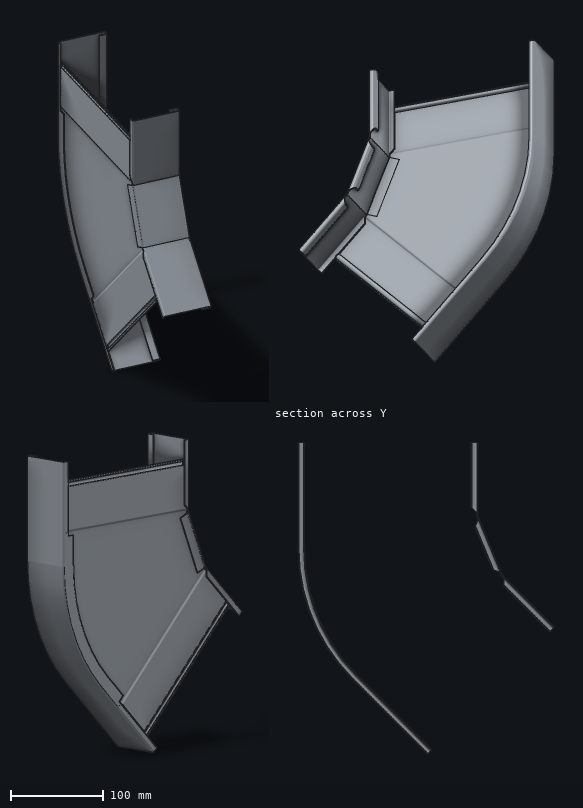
import cadquery as cq
import math


BEND_ANGLE = 45
BEND_RADIUS = 200.0
TRAY_WIDTH = 196.0
OVERALL_HEIGHT = 339.0
INNER_LEG = 80.0

SHEET = 1.25
RAIL_HEIGHT = 57.0
FOOT_RADIUS = 2.0
LIP_RADIUS = 3.5
LIP_DROP = 10.0
FLANGE_WIDTH = 7.0
OUTER_LIP_REACH = 7.5
INNER_LIP_REACH = 8.0
NOTCH_SETBACK = FOOT_RADIUS
NOTCH_START = 3.7

OUTER_LAP_WIDTH = 15.5
OUTER_LAP_LEG = 33.2
INNER_LAP_WIDTH = 14.5

END_INSET = 20.7
END_LIP = 2.5
GROOVE_RADIUS = 2.0
JOGGLE_OFFSET = 1.5
SIDE_GAP = 0.7

SIN_BEND = math.sin(math.radians(BEND_ANGLE))
OUTER_LEG = (OVERALL_HEIGHT - BEND_RADIUS * SIN_BEND) / (1 + SIN_BEND)
HALF_ANGLE = BEND_ANGLE / 2
SIN_HALF = math.sin(math.radians(HALF_ANGLE))
COS_HALF = math.cos(math.radians(HALF_ANGLE))
MITRE_SLOPE = math.tan(math.radians(HALF_ANGLE / 2))
CORNER_Z = OUTER_LEG - INNER_LEG
FLOOR_END_Z = CORNER_Z + JOGGLE_OFFSET
HALF_CHORD = (BEND_RADIUS - TRAY_WIDTH) * SIN_HALF + CORNER_Z * COS_HALF
BEND_CENTRE = cq.Vector(BEND_RADIUS, 0, 0)
MIRROR_NORMAL = cq.Vector(-SIN_HALF, 0, COS_HALF)
INNER_CORNER = (TRAY_WIDTH, 0, CORNER_Z)
LEG_INWARD = (-1, 0, 0)
CHORD_INWARD = (-COS_HALF, 0, -SIN_HALF)
CHORD_DOWN = (SIN_HALF, 0, -COS_HALF)


def with_mirror(half):
    """The half body joined to its reflection across the bend's symmetry plane."""
    reflection = half.val().mirror(MIRROR_NORMAL, BEND_CENTRE)
    return half.union(cq.Workplane(reflection)).solids()


def rail_section(plane, flange_width, lip_reach):
    """Bent-sheet section; local x points into the tray and local y points up the wall."""
    diagonal = math.sqrt(0.5)
    foot_inner = FOOT_RADIUS - SHEET
    lip_inner = LIP_RADIUS - SHEET
    lip_top = RAIL_HEIGHT - LIP_RADIUS
    lip_end = RAIL_HEIGHT - LIP_DROP
    lip_centre = lip_reach - LIP_RADIUS

    def arc_middle(centre_x, centre_y, radius, side_x, side_y):
        """Middle of a quarter arc on the given sides of its centre."""
        return (centre_x + side_x * radius * diagonal, centre_y + side_y * radius * diagonal)

    return (
        cq.Workplane(plane)
        .moveTo(flange_width, 0)
        .lineTo(FOOT_RADIUS, 0)
        .threePointArc(arc_middle(FOOT_RADIUS, FOOT_RADIUS, FOOT_RADIUS, -1, -1), (0, FOOT_RADIUS))
        .lineTo(0, lip_top)
        .threePointArc(arc_middle(LIP_RADIUS, lip_top, LIP_RADIUS, -1, 1), (LIP_RADIUS, RAIL_HEIGHT))
        .lineTo(lip_centre, RAIL_HEIGHT)
        .threePointArc(arc_middle(lip_centre, lip_top, LIP_RADIUS, 1, 1), (lip_reach, lip_top))
        .lineTo(lip_reach, lip_end)
        .lineTo(lip_reach - SHEET, lip_end)
        .lineTo(lip_reach - SHEET, lip_top)
        .threePointArc(arc_middle(lip_centre, lip_top, lip_inner, 1, 1), (lip_centre, RAIL_HEIGHT - SHEET))
        .lineTo(LIP_RADIUS, RAIL_HEIGHT - SHEET)
        .threePointArc(arc_middle(LIP_RADIUS, lip_top, lip_inner, -1, 1), (SHEET, lip_top))
        .lineTo(SHEET, FOOT_RADIUS)
        .threePointArc(arc_middle(FOOT_RADIUS, FOOT_RADIUS, foot_inner, -1, -1), (FOOT_RADIUS, SHEET))
        .lineTo(flange_width, SHEET)
        .close()
    )


def make_outer_rail():
    """Rail with straight legs tangent to the arc; its flange widens to lap the floor plate."""
    lap_start = cq.Plane(origin=(0, 0, 0), xDir=(1, 0, 0), normal=(0, 0, 1))
    lap_end = cq.Plane(origin=(0, 0, OUTER_LAP_LEG), xDir=(1, 0, 0), normal=(0, 0, 1))
    half_arc = rail_section(lap_start, OUTER_LAP_WIDTH, OUTER_LIP_REACH).revolve(
        HALF_ANGLE, (BEND_RADIUS, 3.5, 0), (BEND_RADIUS, 0, 0)
    )
    lapped_leg = rail_section(lap_start, OUTER_LAP_WIDTH, OUTER_LIP_REACH).extrude(OUTER_LAP_LEG)
    plain_leg = rail_section(lap_end, FLANGE_WIDTH, OUTER_LIP_REACH).extrude(OUTER_LEG - OUTER_LAP_LEG)
    return with_mirror(half_arc.union(lapped_leg).union(plain_leg))


def corner_plan(inward):
    """Floor plane at the inner corner; local x points into the tray, local y down along the rail."""
    return cq.Workplane(cq.Plane(origin=INNER_CORNER, xDir=inward, normal=(0, -1, 0)))


def notched_piece(inward, down, side, length):
    """Inner-rail piece leaving the corner down (side = 1) or up (side = -1) the rail.

    The wall is mitred at the corner and the lip and flange are cut back at 45 degrees.
    """
    overrun = NOTCH_SETBACK * MITRE_SLOPE
    start = cq.Vector(*INNER_CORNER) - cq.Vector(*down) * (side * overrun)
    section_plane = cq.Plane(origin=start, xDir=inward, normal=down)
    bar = rail_section(section_plane, FLANGE_WIDTH, INNER_LIP_REACH).extrude(side * (length + overrun))
    outline = [
        (0, 0),
        (NOTCH_SETBACK, -side * overrun),
        (NOTCH_SETBACK, side * NOTCH_START),
        (INNER_LIP_REACH, side * (NOTCH_START + INNER_LIP_REACH - NOTCH_SETBACK)),
        (INNER_LIP_REACH, side * length),
        (0, side * length),
    ]
    trim = corner_plan(inward).polyline(outline).close().extrude(-RAIL_HEIGHT)
    return bar.intersect(trim)


def make_inner_rail():
    """Rail with two straight legs joined by a straight chord that carries a wide lap flange."""
    leg = notched_piece(LEG_INWARD, (0, 0, -1), -1, INNER_LEG)
    half_chord = notched_piece(CHORD_INWARD, CHORD_DOWN, 1, HALF_CHORD)
    lap = (
        corner_plan(CHORD_INWARD)
        .moveTo(FOOT_RADIUS, 0)
        .lineTo(INNER_LAP_WIDTH, 0)
        .lineTo(INNER_LAP_WIDTH, HALF_CHORD)
        .lineTo(FOOT_RADIUS, HALF_CHORD)
        .close()
        .extrude(-SHEET)
    )
    return with_mirror(leg.union(half_chord).union(lap))


def make_half_centre():
    """Upper half of the flat floor, one sheet thickness above the lap flanges."""
    notch_inset = NOTCH_SETBACK + SIDE_GAP
    edge_radius = BEND_RADIUS - FOOT_RADIUS
    quarter = math.radians(HALF_ANGLE / 2)
    chord_offset = (TRAY_WIDTH - BEND_RADIUS) * COS_HALF + CORNER_Z * SIN_HALF - FOOT_RADIUS
    chord_middle = (BEND_RADIUS + chord_offset * COS_HALF, chord_offset * SIN_HALF)
    arc_quarter = (BEND_RADIUS - edge_radius * math.cos(quarter), -edge_radius * math.sin(quarter))
    arc_middle = (BEND_RADIUS - edge_radius * COS_HALF, -edge_radius * SIN_HALF)
    return (
        cq.Workplane("XZ", origin=(0, SHEET, 0))
        .moveTo(FOOT_RADIUS, 0)
        .lineTo(FOOT_RADIUS, FLOOR_END_Z)
        .lineTo(TRAY_WIDTH - notch_inset, FLOOR_END_Z)
        .lineTo(TRAY_WIDTH - notch_inset, CORNER_Z)
        .lineTo(*chord_middle)
        .lineTo(*arc_middle)
        .threePointArc(arc_quarter, (FOOT_RADIUS, 0))
        .close()
        .extrude(-SHEET)
    )


def strip_sheet():
    """Sheet stepping down from the floor to flange level through two equal bends, one sheet deep."""
    outer_radius = 2 * SHEET
    joggle_length = math.sqrt(5) * SHEET
    joggle_end = FLOOR_END_Z + joggle_length
    strip_end = OUTER_LEG - END_INSET

    def joint(fraction):
        """Point this far along the line from the bend centre at the floor to the one at the strip."""
        return (fraction * 2 * SHEET, FLOOR_END_Z + fraction * joggle_length)

    def bend_middle(centre_y, centre_z, radius, side):
        """Middle of a bend's arc, on the +Y (side = 1) or -Y (side = -1) side of its centre."""
        half_turn = math.asin(joggle_length / (3 * SHEET)) / 2
        reach = side * radius
        return (centre_y + reach * math.cos(half_turn), centre_z + reach * math.sin(half_turn))

    return (
        cq.Workplane("YZ")
        .moveTo(0, strip_end)
        .lineTo(0, joggle_end)
        .threePointArc(bend_middle(outer_radius, joggle_end, outer_radius, -1), joint(1 / 3))
        .threePointArc(bend_middle(0, FLOOR_END_Z, SHEET, 1), (SHEET, FLOOR_END_Z))
        .lineTo(2 * SHEET, FLOOR_END_Z)
        .threePointArc(bend_middle(0, FLOOR_END_Z, outer_radius, 1), joint(2 / 3))
        .threePointArc(bend_middle(outer_radius, joggle_end, SHEET, -1), (SHEET, joggle_end))
        .lineTo(SHEET, strip_end)
        .close()
        .extrude(TRAY_WIDTH)
    )


def strip_outline():
    """Plan of the end strip; its inner side follows the corner notch at a constant gap."""
    side_inset = FLANGE_WIDTH + SIDE_GAP
    notch_inset = NOTCH_SETBACK + SIDE_GAP
    slope_start = NOTCH_START - SIDE_GAP * (math.sqrt(2) - 1)
    outline = [
        (side_inset, FLOOR_END_Z),
        (side_inset, OUTER_LEG),
        (TRAY_WIDTH - side_inset, OUTER_LEG),
        (TRAY_WIDTH - side_inset, CORNER_Z + slope_start + side_inset - notch_inset),
        (TRAY_WIDTH - notch_inset, CORNER_Z + slope_start),
        (TRAY_WIDTH - notch_inset, FLOOR_END_Z),
    ]
    return cq.Workplane("XZ").polyline(outline).close().extrude(-RAIL_HEIGHT)


def make_end_strip():
    """Strip level with the rail flanges, with a half-round groove pressed in near its free end."""
    groove_centre = OUTER_LEG - END_INSET - END_LIP - GROOVE_RADIUS
    centre_plane = cq.Workplane("YZ").center(0, groove_centre)
    bead = centre_plane.circle(GROOVE_RADIUS + SHEET).extrude(TRAY_WIDTH)
    groove = centre_plane.circle(GROOVE_RADIUS).extrude(TRAY_WIDTH)
    return strip_sheet().union(bead).cut(groove).intersect(strip_outline())


def make_floor_plate():
    """Floor between the rails with an end strip in each leg."""
    return with_mirror(make_half_centre().union(make_end_strip()))


outer_rail = make_outer_rail()
inner_rail = make_inner_rail()
floor_plate = make_floor_plate()

result = cq.Compound.makeCompound([outer_rail.val(), inner_rail.val(), floor_plate.val()])